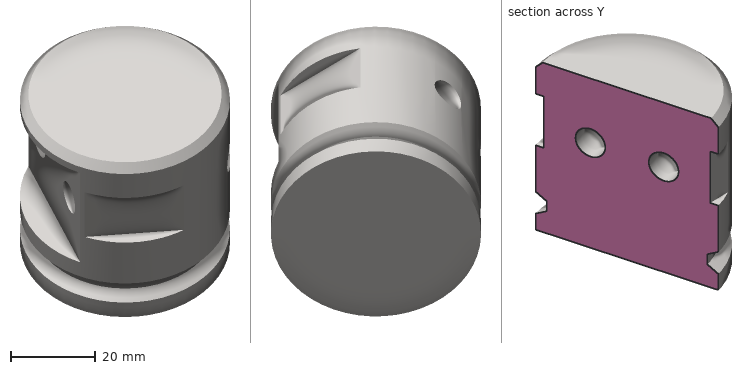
import cadquery as cq

radius = 25.0
height = 50.0
top_chamfer = 2.0

groove_depth = 3.0
groove_floor_bottom = 6.6
groove_floor_width = 2.9
groove_wall_rise = 1.75

front_flat_distance = 18.0
front_flat_bottom = 16.0
front_flat_height = 30.0
hole_diameter = 8.0
hole_spacing = 20.0

wrench_flat_distance = 22.0
wrench_flat_bottom = 25.0
wrench_flat_height = 15.0
wrench_flat_angle = -15.0


def turned_body():
    """Revolve the half profile with its groove and top chamfer."""
    groove_radius = radius - groove_depth
    groove_floor_top = groove_floor_bottom + groove_floor_width
    return (
        cq.Workplane("XZ")
        .lineTo(radius, 0)
        .lineTo(radius, groove_floor_bottom - groove_wall_rise)
        .lineTo(groove_radius, groove_floor_bottom)
        .lineTo(groove_radius, groove_floor_top)
        .lineTo(radius, groove_floor_top + groove_wall_rise)
        .lineTo(radius, height - top_chamfer)
        .lineTo(radius - top_chamfer, height)
        .lineTo(0, height)
        .close()
        .revolve(360, (0, 0, 0), (0, 1, 0))
    )


def flat_cutter(distance, bottom, cut_height, angle):
    """Block that leaves a flat at the given distance, facing the given angle from +X."""
    return (
        cq.Workplane("XY")
        .box(radius, 2 * radius, cut_height, centered=(False, True, False))
        .translate((distance, 0, bottom))
        .rotate((0, 0, 0), (0, 0, 1), angle)
    )


def mounting_holes():
    """Two holes along Y, centred on the front flat and passing through the body."""
    hole_height = front_flat_bottom + front_flat_height / 2
    return (
        cq.Workplane("XZ")
        .pushPoints([(side * hole_spacing / 2, hole_height) for side in (-1, 1)])
        .circle(hole_diameter / 2)
        .extrude(radius, both=True)
    )


result = turned_body()
result = result.cut(flat_cutter(front_flat_distance, front_flat_bottom, front_flat_height, -90))
for angle in (wrench_flat_angle, wrench_flat_angle + 180):
    result = result.cut(flat_cutter(wrench_flat_distance, wrench_flat_bottom, wrench_flat_height, angle))
result = result.cut(mounting_holes())